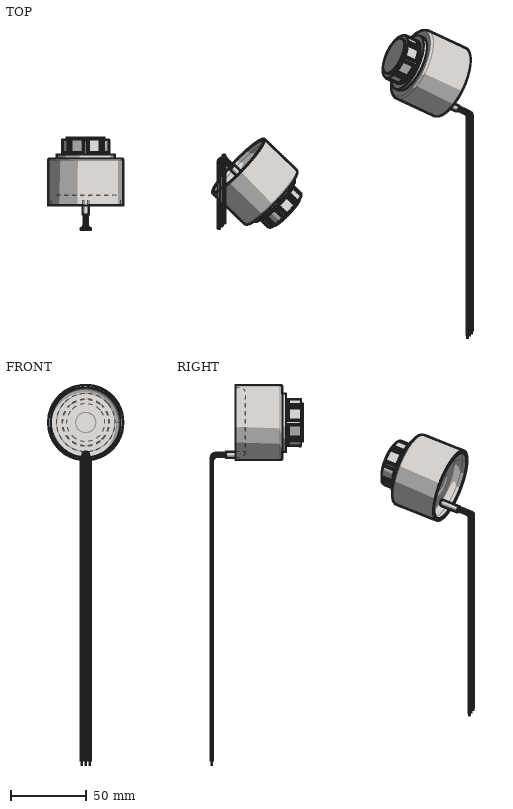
import cadquery as cq
import math


cup_radius = 25.0
cup_length = 31.4
back_edge_fillet = 1.5
recess_radius = 23.3
recess_depth = 6.8
floor_diameter = 38.7
centre_disc_diameter = 13.5
ridge_radius = 11.5
ridge_height = 0.38

collar_radius = 19.5
collar_back = 34.0
grip_diameter = 31.5
grip_ring_back = 35.2
knob_back = 43.8
cap_radius = 12.6
cap_back = 45.0

rib_count = 8
rib_rise = 0.5
rib_root_width = 4.0
rib_crest_width = 2.0

sleeve_radius = 2.15
sleeve_drop = 21.5
sleeve_reach = 6.0

wire_diameter = 1.5
conductor_diameter = 0.5
conductor_length = 3.0
fan_width = 5.3
drop_plane = 15.7
bend_start = 12.1
bend_end_drop = 26.8
total_height = 253.0
wire_end_drop = total_height - cup_radius

floor_radius = floor_diameter / 2
centre_disc_radius = centre_disc_diameter / 2
floor_fillet = recess_radius - floor_radius
grip_radius = grip_diameter / 2
panel_radius = grip_radius - rib_rise
wire_radius = wire_diameter / 2
wire_pitch = fan_width / 2
stack_height = wire_diameter * math.sin(math.radians(60))
insulation_end_drop = wire_end_drop - conductor_length


def disc(radius, start, end):
    """Cylinder about the Y axis from y = start to y = end."""
    return cq.Workplane("XZ", origin=(0, start, 0)).circle(radius).extrude(start - end)


def make_recess():
    """Space inside the rim: rounded floor corner and a low ring-shaped ridge on the floor."""
    corner_offset = floor_fillet * math.sin(math.radians(45))
    fillet_middle = (floor_radius + corner_offset, recess_depth - floor_fillet + corner_offset)
    return (
        cq.Workplane("XY")
        .moveTo(0, 0)
        .lineTo(recess_radius, 0)
        .lineTo(recess_radius, recess_depth - floor_fillet)
        .threePointArc(fillet_middle, (floor_radius, recess_depth))
        .spline(
            [(ridge_radius, recess_depth - ridge_height), (centre_disc_radius, recess_depth)],
            tangents=[(-1, 0), (-1, 0)],
            includeCurrent=True,
        )
        .lineTo(0, recess_depth)
        .close()
        .revolve(360, (0, 0, 0), (0, 1, 0))
    )


def around_axis(radius, angle):
    """Point on a circle about the Y axis, as (x, z), at an angle in degrees from +Z."""
    return radius * math.sin(math.radians(angle)), radius * math.cos(math.radians(angle))


def make_panel_cutter():
    """Space between two neighbouring ribs, with a sloped end above the grip ring."""
    rib_angle = 360 / rib_count
    root_angle = math.degrees(math.asin(rib_root_width / 2 / panel_radius))
    crest_angle = math.degrees(math.asin(rib_crest_width / 2 / grip_radius))
    outer_radius = grip_radius + rib_rise
    outer_angle = 2 * crest_angle - root_angle
    middle_x, middle_z = around_axis(panel_radius, rib_angle / 2)
    panel_root_edge = cq.NearestToPointSelector((middle_x, grip_ring_back, middle_z))
    return (
        cq.Workplane("XZ", origin=(0, grip_ring_back, 0))
        .moveTo(*around_axis(panel_radius, root_angle))
        .threePointArc((middle_x, middle_z), around_axis(panel_radius, rib_angle - root_angle))
        .lineTo(*around_axis(outer_radius, rib_angle - outer_angle))
        .threePointArc(around_axis(outer_radius, rib_angle / 2), around_axis(outer_radius, outer_angle))
        .close()
        .extrude(grip_ring_back - cap_back)
        .edges(panel_root_edge)
        .chamfer(rib_rise)
    )


def make_knob():
    """Knob with a grip ring at its root, ribs around it and a cap on its back."""
    knob = disc(grip_radius, collar_back, knob_back).faces(">Y").chamfer(rib_rise)
    cutter = make_panel_cutter()
    for index in range(rib_count):
        knob = knob.cut(cutter.rotate((0, 0, 0), (0, 1, 0), index * 360 / rib_count))
    return knob.union(disc(cap_radius, knob_back, cap_back))


def make_housing():
    """Cup with its recess, collar, knob and cable sleeve as one body."""
    cup = disc(cup_radius, 0, cup_length).faces(">Y").edges().fillet(back_edge_fillet)
    sleeve = disc(sleeve_radius, -sleeve_reach, recess_depth)
    sleeve = sleeve.translate((0, 0, -sleeve_drop))
    return (
        cup.cut(make_recess())
        .union(disc(collar_radius, cup_length, collar_back))
        .union(make_knob())
        .union(sleeve)
    )


def make_wire(start_x, start_z, end_x):
    """Wire that leaves the sleeve, bends down while fanning out, and ends in a bare conductor."""
    sleeve_exit = cq.Vector(start_x, -sleeve_reach, start_z)
    bend_top = cq.Vector(start_x, -bend_start, start_z)
    bend_bottom = cq.Vector(end_x, -drop_plane, -bend_end_drop)
    insulation_end = cq.Vector(end_x, -drop_plane, -insulation_end_drop)
    bend_directions = [cq.Vector(0, -1, 0), cq.Vector(0, 0, -1)]
    path = cq.Wire.assembleEdges(
        [
            cq.Edge.makeLine(sleeve_exit, bend_top),
            cq.Edge.makeSpline([bend_top, bend_bottom], tangents=bend_directions),
            cq.Edge.makeLine(bend_bottom, insulation_end),
        ]
    )
    start_face = cq.Workplane("XZ", origin=sleeve_exit.toTuple())
    insulation = start_face.circle(wire_radius).sweep(path)
    conductor = (
        cq.Workplane("XY", origin=(end_x, -drop_plane, -wire_end_drop))
        .circle(conductor_diameter / 2)
        .extrude(conductor_length)
    )
    return insulation.union(conductor)


housing = make_housing()

wires = []
for side in (-1, 0, 1):
    level = -stack_height / 2 if side == 0 else stack_height / 2
    wires.append(make_wire(side * wire_radius, level - sleeve_drop, side * wire_pitch))

result = cq.Compound.makeCompound([housing.val(), *[wire.val() for wire in wires]])